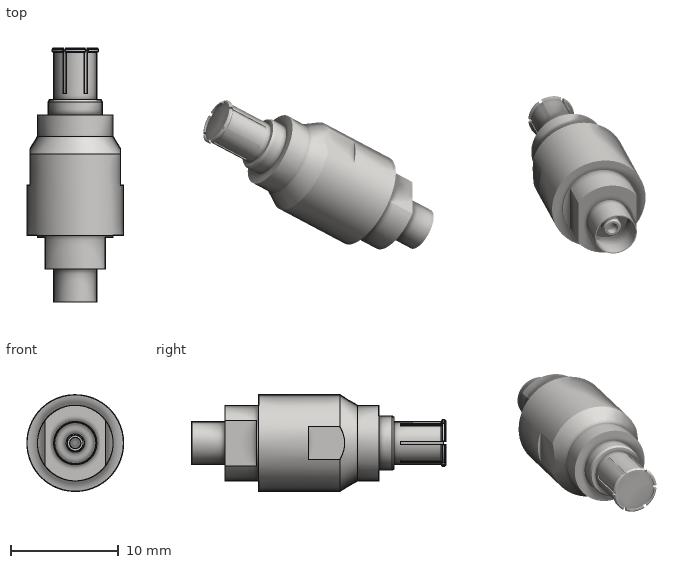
import cadquery as cq

SOCKET_LENGTH = 3.07
WRENCH_STEP_END = 6.02
BODY_START = 6.2
BODY_FLAT_START = 10.85
CONE_START = 13.75
CONE_END = 15.39
COLLAR_END = 17.4
FLANGE_END = 18.8
SLOT_START = 19.38
TOTAL_LENGTH = 23.6

TUBE_RADIUS = 2.0
COLLAR_RADIUS = 3.52
BODY_DIAMETER = 9.0
BODY_RADIUS = BODY_DIAMETER / 2
FLANGE_RADIUS = 2.53
FLANGE_CHAMFER_LENGTH = 0.21
FLANGE_CHAMFER_RADIAL = 0.12

RIM_RADIUS = 2.17
RIM_WIDTH = 0.42
RIM_CHAMFER = 0.12

FINGER_WALL = 0.1
CORE_RADIUS = TUBE_RADIUS - FINGER_WALL
FINGER_RECESS = 0.2
SLOT_COUNT = 6
SLOT_WIDTH = 0.3

BODY_FLAT_OFFSET = 4.22
WRENCH_FLAT_OFFSET = 2.8

SOCKET_BORE_RADIUS = 1.9
PIN_RADIUS = 0.85
PIN_CHAMFER = 0.12
PIN_HOLE_RADIUS = 0.52
PIN_RECESS = 1.25


def disc(radius, start, end):
    """Cylinder on the Y axis between two stations."""
    return cq.Workplane("XZ", origin=(0, start, 0)).circle(radius).extrude(start - end)


def make_shell():
    """Outer shape of the connector, turned about the Y axis."""
    rim_start = TOTAL_LENGTH - RIM_WIDTH
    outline = [
        (0, 0),
        (TUBE_RADIUS, 0),
        (TUBE_RADIUS, SOCKET_LENGTH),
        (COLLAR_RADIUS, SOCKET_LENGTH),
        (COLLAR_RADIUS, BODY_START),
        (BODY_RADIUS, BODY_START),
        (BODY_RADIUS, CONE_START),
        (COLLAR_RADIUS, CONE_END),
        (COLLAR_RADIUS, COLLAR_END),
        (FLANGE_RADIUS, COLLAR_END),
        (FLANGE_RADIUS, FLANGE_END - FLANGE_CHAMFER_LENGTH),
        (FLANGE_RADIUS - FLANGE_CHAMFER_RADIAL, FLANGE_END),
        (TUBE_RADIUS, FLANGE_END),
        (TUBE_RADIUS, rim_start),
        (RIM_RADIUS, rim_start + RIM_CHAMFER),
        (RIM_RADIUS, TOTAL_LENGTH - RIM_CHAMFER),
        (RIM_RADIUS - RIM_CHAMFER, TOTAL_LENGTH),
        (0, TOTAL_LENGTH),
    ]
    return cq.Workplane("XY").polyline(outline).close().revolve(360, (0, 0, 0), (0, 1, 0))


def flat_pair(offset, start, end):
    """Material outside two flats that face -X and +X."""
    size = 2 * BODY_RADIUS
    length = end - start
    middle = (start + end) / 2
    blocks = cq.Workplane("XY")
    for side in (-1, 1):
        blocks = blocks.union(
            cq.Workplane("XY").box(size, length, size).translate((side * (offset + size / 2), middle, 0))
        )
    return blocks


def make_socket():
    """Bore in the front tube, less the pin standing in it."""
    pin = disc(PIN_RADIUS, PIN_RECESS, SOCKET_LENGTH).faces("<Y").chamfer(PIN_CHAMFER)
    pin = pin.cut(disc(PIN_HOLE_RADIUS, PIN_RECESS, SOCKET_LENGTH))
    return disc(SOCKET_BORE_RADIUS, 0, SOCKET_LENGTH).cut(pin)


def make_finger_slots():
    """Slots that divide the slotted end into fingers, down to the core."""
    length = TOTAL_LENGTH - SLOT_START
    bar = cq.Workplane("XY").box(RIM_RADIUS, length, SLOT_WIDTH)
    bar = bar.translate((RIM_RADIUS, SLOT_START + length / 2, 0))
    slots = cq.Workplane("XY")
    for index in range(SLOT_COUNT):
        slots = slots.union(bar.rotate((0, 0, 0), (0, 1, 0), index * 360 / SLOT_COUNT))
    return slots.cut(disc(CORE_RADIUS, SLOT_START, TOTAL_LENGTH))


def make_core_recess():
    """Shallow recess where the core stops short of the finger tips."""
    return disc(CORE_RADIUS, TOTAL_LENGTH - FINGER_RECESS, TOTAL_LENGTH)


result = (
    make_shell()
    .cut(flat_pair(BODY_FLAT_OFFSET, BODY_FLAT_START, CONE_END))
    .cut(flat_pair(WRENCH_FLAT_OFFSET, SOCKET_LENGTH, WRENCH_STEP_END))
    .cut(make_socket())
    .cut(make_finger_slots())
    .cut(make_core_recess())
)